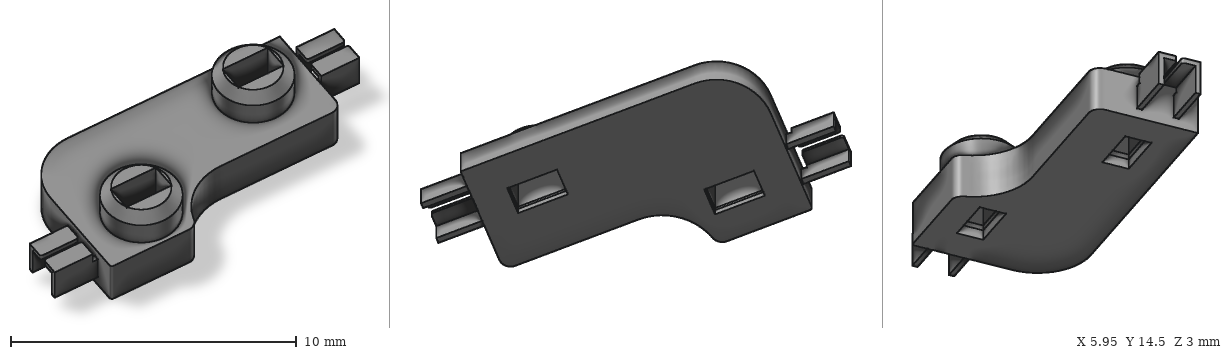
import cadquery as cq
import math


HOUSING_WIDTH = 5.95
HOUSING_LENGTH = 10.9
HOUSING_HEIGHT = 1.71
ARM_WIDTH = 4.03
HEEL_RADIUS = 2.06
WAIST_RADIUS = 2.26
WAIST_START_Y = 5.82
ARM_CORNER_RADIUS = 0.43
FOOT_UPPER_CORNER_RADIUS = 0.43
FOOT_LOWER_CORNER_RADIUS = 0.1

BOSS_DIAMETER = 2.9
BOSS_HEIGHT = 1.29
BOSS_CHAMFER = 0.39
BOSS_CENTERS = [(1.71, 8.68), (4.35, 2.3)]
SLOT_WIDTH = 1.01
SLOT_LENGTH = 1.88

SHEET = 0.2
TAIL_LENGTH = (14.49 - HOUSING_LENGTH) / 2
TAIL_WIDTH = 1.62
TAIL_GAP = 0.2
TAIL_BOTTOM = 0.39
NECK_LENGTH = 0.2
NECK_DROP = 0.39
FLANGE_CORNER_RADIUS = 0.1
ARM_TAIL_X = 0.74
FOOT_TAIL_X = 3.48

STRAP_INSET = 0.29
ROOT_LENGTH = STRAP_INSET + SHEET
CROSSBAR_BOTTOM = 1.3
CROSSBAR_TOP = 3.48


def box(x, y, z, length_x, length_y, length_z):
    return cq.Workplane("XY").box(length_x, length_y, length_z, centered=False).translate((x, y, z))


def make_slots():
    return (
        cq.Workplane("XY")
        .pushPoints(BOSS_CENTERS)
        .rect(SLOT_WIDTH, SLOT_LENGTH)
        .extrude(HOUSING_HEIGHT + BOSS_HEIGHT)
    )


def make_plate():
    """Plate with a narrow arm that flares through a concave waist into a wide foot."""
    waist_center_x = ARM_WIDTH + WAIST_RADIUS

    def waist_y(x):
        return WAIST_START_Y - math.sqrt(WAIST_RADIUS**2 - (waist_center_x - x) ** 2)

    foot_top = waist_y(HOUSING_WIDTH)
    waist_middle_x = (ARM_WIDTH + HOUSING_WIDTH) / 2
    plate = (
        cq.Workplane("XY")
        .lineTo(HOUSING_WIDTH, 0)
        .lineTo(HOUSING_WIDTH, foot_top)
        .threePointArc((waist_middle_x, waist_y(waist_middle_x)), (ARM_WIDTH, WAIST_START_Y))
        .lineTo(ARM_WIDTH, HOUSING_LENGTH)
        .lineTo(0, HOUSING_LENGTH)
        .close()
        .extrude(HOUSING_HEIGHT)
    )
    rounded_corners = [
        ((0, 0), HEEL_RADIUS),
        ((HOUSING_WIDTH, 0), FOOT_LOWER_CORNER_RADIUS),
        ((HOUSING_WIDTH, foot_top), FOOT_UPPER_CORNER_RADIUS),
        ((ARM_WIDTH, HOUSING_LENGTH), ARM_CORNER_RADIUS),
    ]
    for (x, y), radius in rounded_corners:
        corner = cq.selectors.NearestToPointSelector((x, y, HOUSING_HEIGHT / 2))
        plate = plate.edges("|Z").edges(corner).fillet(radius)
    return plate


def make_bosses():
    return (
        cq.Workplane("XY", origin=(0, 0, HOUSING_HEIGHT))
        .pushPoints(BOSS_CENTERS)
        .circle(BOSS_DIAMETER / 2)
        .extrude(BOSS_HEIGHT)
        .faces(">Z")
        .chamfer(BOSS_CHAMFER)
    )


def make_tail():
    """Tail pointing along +Y, centred on X = 0, with the housing face at Y = 0 and its roots behind it."""
    half_width = TAIL_WIDTH / 2
    flange_width = half_width - TAIL_GAP / 2
    flange_length = TAIL_LENGTH - NECK_LENGTH
    wall_height = HOUSING_HEIGHT - TAIL_BOTTOM
    neck = box(
        -half_width, -ROOT_LENGTH, TAIL_BOTTOM, SHEET, ROOT_LENGTH + NECK_LENGTH, wall_height - NECK_DROP
    )
    wall = box(-half_width, NECK_LENGTH, TAIL_BOTTOM, SHEET, flange_length, wall_height)
    flange = (
        box(-half_width, NECK_LENGTH, HOUSING_HEIGHT - SHEET, flange_width, flange_length, SHEET)
        .edges("|Z and >X")
        .fillet(FLANGE_CORNER_RADIUS)
    )
    side = neck.union(wall).union(flange)
    return side.union(side.mirror("YZ"))


def make_contact():
    """Strap slotted for the pins, with one tail leaving each end of the housing."""
    arm_strap_length = HOUSING_LENGTH - STRAP_INSET - CROSSBAR_BOTTOM
    arm_strap = box(ARM_TAIL_X, CROSSBAR_BOTTOM, TAIL_BOTTOM, TAIL_WIDTH, arm_strap_length, SHEET)
    foot_strap_length = CROSSBAR_TOP - STRAP_INSET
    foot_strap = box(FOOT_TAIL_X, STRAP_INSET, TAIL_BOTTOM, TAIL_WIDTH, foot_strap_length, SHEET)
    crossbar_length = FOOT_TAIL_X + TAIL_WIDTH - ARM_TAIL_X
    crossbar_width = CROSSBAR_TOP - CROSSBAR_BOTTOM
    crossbar = box(ARM_TAIL_X, CROSSBAR_BOTTOM, TAIL_BOTTOM, crossbar_length, crossbar_width, SHEET)
    strap = arm_strap.union(crossbar).union(foot_strap).cut(make_slots())
    arm_tail = make_tail().translate((ARM_TAIL_X + TAIL_WIDTH / 2, HOUSING_LENGTH, 0))
    foot_tail = make_tail().mirror("XZ").translate((FOOT_TAIL_X + TAIL_WIDTH / 2, 0, 0))
    return strap.union(arm_tail).union(foot_tail)


def make_housing(contact):
    """Plate and bosses, pierced by the pin slots and recessed to fit the contact."""
    return make_plate().union(make_bosses()).cut(make_slots()).cut(contact)


contact = make_contact()
housing = make_housing(contact)

result = cq.Compound.makeCompound([housing.solids().val(), contact.solids().val()])